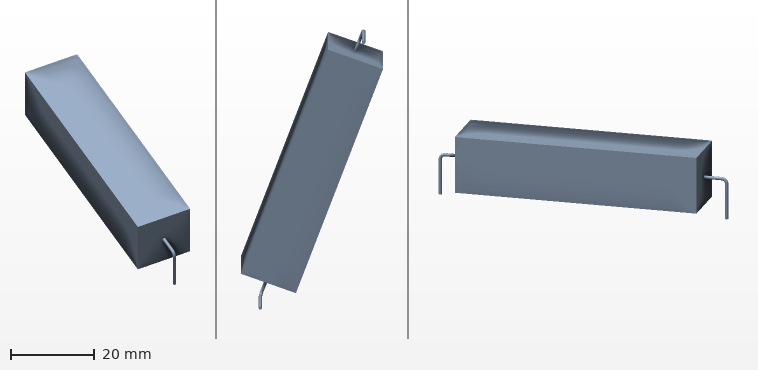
import cadquery as cq

body_length = 60.0
body_width = 14.0
body_height = 14.0

lead_diameter = 0.8
lead_pitch = 71.12
lead_drop = 3.0
bend_radius = 1.2
lead_embed = 1.0

lead_height = body_height / 2


def make_body():
    return cq.Workplane("XY").box(
        body_length, body_width, body_height, centered=(True, True, False)
    )


def make_lead():
    """Lead on the +X end, with its root embedded in the body."""
    root_x = body_length / 2 - lead_embed
    leg_x = lead_pitch / 2
    bend_start_x = leg_x - bend_radius
    path = (
        cq.Workplane("XZ")
        .moveTo(root_x, lead_height)
        .lineTo(bend_start_x, lead_height)
        .tangentArcPoint((leg_x, lead_height - bend_radius), relative=False)
        .lineTo(leg_x, -lead_drop)
    )
    return (
        cq.Workplane("YZ", origin=(root_x, 0, lead_height))
        .circle(lead_diameter / 2)
        .sweep(path)
    )


lead = make_lead()
result = make_body().union(lead).union(lead.mirror("YZ"))